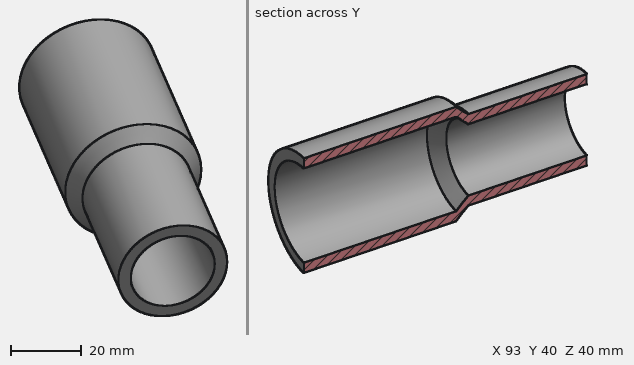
import cadquery as cq

total_length = 93.0
wide_length = 50.0
wide_outer_diameter = 40.0
narrow_outer_diameter = 32.0
wide_bore_diameter = 32.6
narrow_bore_diameter = 24.6

taper_length = (wide_outer_diameter - narrow_outer_diameter) / 2
taper_end = wide_length + taper_length


def stepped_solid(wide_diameter, narrow_diameter):
    """Solid of revolution about X with the wide end at X = 0."""
    wide_radius = wide_diameter / 2
    narrow_radius = narrow_diameter / 2
    half_section = [
        (0, 0),
        (0, wide_radius),
        (wide_length, wide_radius),
        (taper_end, narrow_radius),
        (total_length, narrow_radius),
        (total_length, 0),
    ]
    profile = cq.Workplane("XY").polyline(half_section).close()
    return profile.revolve(360, (0, 0, 0), (1, 0, 0))


body = stepped_solid(wide_outer_diameter, narrow_outer_diameter)
bore = stepped_solid(wide_bore_diameter, narrow_bore_diameter)

result = body.cut(bore)